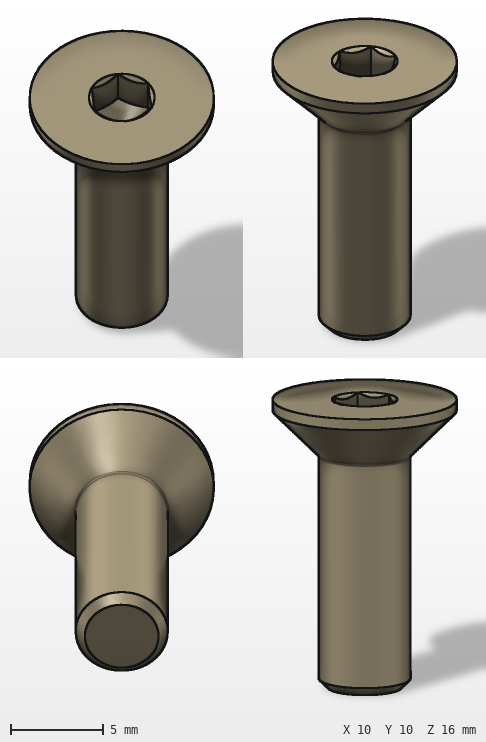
import cadquery as cq
import math


length = 16.0
head_diameter = 10.0
shank_diameter = 5.0

rim_height = 0.6
head_cone_half_angle = math.radians(45)
neck_fillet_radius = 0.2

tip_chamfer = 0.5

socket_across_flats = 3.08
socket_wall_depth = 1.9
socket_floor_half_angle = math.radians(60)
socket_floor_flat_diameter = 0.5
socket_lead_in_half_angle = math.radians(45)

head_radius = head_diameter / 2
shank_radius = shank_diameter / 2
head_height = rim_height + (head_radius - shank_radius) / math.tan(head_cone_half_angle)
socket_across_corners = socket_across_flats / math.cos(math.radians(30))
socket_corner_radius = socket_across_corners / 2
floor_flat_radius = socket_floor_flat_diameter / 2
floor_cone_height = (socket_corner_radius - floor_flat_radius) / math.tan(socket_floor_half_angle)
socket_depth = socket_wall_depth + floor_cone_height
lead_in_depth = socket_corner_radius / math.tan(socket_lead_in_half_angle)


def revolve_profile(points):
    """Revolve a closed outline of (radius, z) points about the Z axis."""
    return cq.Workplane("XZ").polyline(points).close().revolve(360, (0, 0, 0), (0, 1, 0))


def make_body():
    """Head, shank and tip, with a small fillet where the head cone meets the shank."""
    body = revolve_profile([
        (0, 0),
        (head_radius, 0),
        (head_radius, -rim_height),
        (shank_radius, -head_height),
        (shank_radius, -length + tip_chamfer),
        (shank_radius - tip_chamfer, -length),
        (0, -length),
    ])
    neck_edge = cq.selectors.NearestToPointSelector((0, 0, -head_height))
    return body.edges("%CIRCLE").edges(neck_edge).fillet(neck_fillet_radius)


def make_socket():
    """Hexagon with corners on the X axis, ending in a blunt drill cone."""
    hexagon = cq.Workplane("XY").polygon(6, socket_across_corners).extrude(-socket_depth)
    drill = revolve_profile([
        (0, 0),
        (socket_corner_radius, 0),
        (socket_corner_radius, -socket_wall_depth),
        (floor_flat_radius, -socket_depth),
        (0, -socket_depth),
    ])
    return hexagon.intersect(drill)


def make_lead_in():
    """Cone that chamfers the socket mouth out to the circle through the hexagon corners."""
    return revolve_profile([
        (0, 0),
        (socket_corner_radius, 0),
        (0, -lead_in_depth),
    ])


result = make_body().cut(make_socket()).cut(make_lead_in())